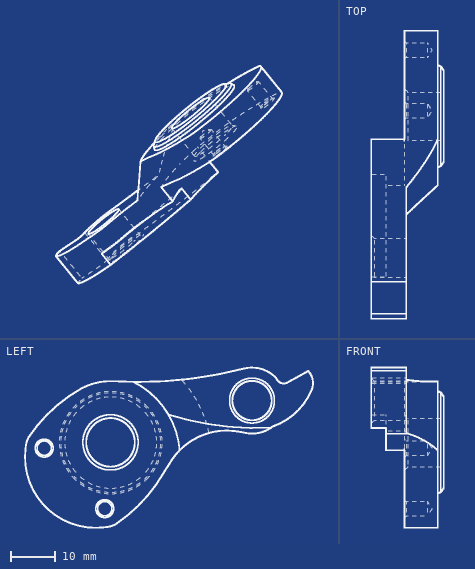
import cadquery as cq
import math


ledge_x = 3.35
plate_front_x = 7.5
arm_back_x = 8.0
plate_back_x = 15.1
boss_back_x = 16.5

lobe_offset = 3.35
lobe_radius = 16.1
rim_radius = 13.95
shoulder_radius = 19.1
rim_end_y = 6.7
flank_middle = (13.3, 7.4)
flank_end = (18.65, 1.1)
corner_middle_y = 19.1
corner_end_y = 19.3

eye_center = (-32.15, 9.5)
eye_radius = 7.5
neck_start = (-5.95, 13.75)
neck_middle = (-18.2, 14.5)
notch_middle = (-38.8, 13.5)
notch_end = (-40.1, 13.55)
hook_tip = (-44.9, 16.25)
nose_middle = (-46.0, 13.5)
nose_end = (-45.65, 11.7)
hook_back_middle = (-42.1, 6.75)
underside_start = (-28.15, 2.55)
underside_middle = (-20.4, 1.45)
underside_end = (-14.1, -3.8)

ledge_start = (-11.8, 6.75)
ledge_middle = (-24.7, 3.8)
ledge_end = (-37.0, 3.35)

clearing_radius = 65.5

main_bore_radius = 5.5
main_bore_chamfer = 0.8
eye_bore_radius = 4.45
eye_bore_chamfer = 0.65
pin_center = (15.05, -1.3)
pin_radius = 1.65
pin_chamfer = 0.4
pin_depth = 5.25
drill_point_angle = 118

boss_base_radius = 11.65
boss_step_radius = 11.3
boss_end_radius = 10.4
boss_step_x = 15.85

lobe_center = (lobe_offset, -lobe_offset)


def mirrored(point):
    """Reflect a point in the plate's diagonal axis, which passes through both centres."""
    return (-point[1], -point[0])


def on_circle_at_y(center, radius, y):
    """Upper point of a circle at the given Y."""
    return (y, center[1] + math.sqrt(radius**2 - (y - center[0]) ** 2))


def at_angle(center, radius, degrees):
    angle = math.radians(degrees)
    return (center[0] + radius * math.cos(angle), center[1] + radius * math.sin(angle))


def plane_at(x):
    return cq.Workplane("YZ", origin=(x, 0, 0))


def cylinder(center, radius, start_x, end_x):
    return plane_at(start_x).center(*center).circle(radius).extrude(end_x - start_x)


def cone(center, start_radius, end_radius, start_x, end_x):
    return cq.Workplane(
        cq.Solid.makeCone(
            start_radius, end_radius, end_x - start_x,
            pnt=cq.Vector(start_x, *center), dir=cq.Vector(1, 0, 0),
        )
    )


def make_plate():
    rim_end = on_circle_at_y((0, 0), rim_radius, rim_end_y)
    corner_end = on_circle_at_y(lobe_center, lobe_radius, corner_end_y)
    corner_middle = (corner_middle_y, (flank_end[1] + corner_end[1]) / 2)
    return (
        plane_at(plate_front_x)
        .moveTo(*rim_end)
        .threePointArc(flank_middle, flank_end)
        .threePointArc(corner_middle, corner_end)
        .threePointArc(at_angle(lobe_center, lobe_radius, -45), mirrored(corner_end))
        .threePointArc(mirrored(corner_middle), mirrored(flank_end))
        .threePointArc(mirrored(flank_middle), mirrored(rim_end))
        .threePointArc(at_angle((0, 0), rim_radius, 135), rim_end)
        .close()
        .extrude(plate_back_x - plate_front_x)
    )


def make_arm():
    eye_top_start = at_angle(eye_center, eye_radius, 75)
    eye_top_end = at_angle(eye_center, eye_radius, 137)
    eye_bottom_start = at_angle(eye_center, eye_radius, 232)
    eye_bottom_end = at_angle(eye_center, eye_radius, 286)
    plate_joint = mirrored(on_circle_at_y((0, 0), rim_radius, rim_end_y))
    arm = (
        plane_at(0)
        .moveTo(0, rim_radius)
        .lineTo(*neck_start)
        .threePointArc(neck_middle, eye_top_start)
        .threePointArc(at_angle(eye_center, eye_radius, 106), eye_top_end)
        .threePointArc(notch_middle, notch_end)
        .lineTo(*hook_tip)
        .threePointArc(nose_middle, nose_end)
        .threePointArc(hook_back_middle, eye_bottom_start)
        .threePointArc(at_angle(eye_center, eye_radius, 259), eye_bottom_end)
        .lineTo(*underside_start)
        .threePointArc(underside_middle, underside_end)
        .lineTo(*plate_joint)
        .lineTo(0, 0)
        .close()
        .extrude(plate_back_x)
    )
    arm = arm.cut(cylinder(lobe_center, shoulder_radius, 0, plate_front_x))
    cone_height = plate_back_x - arm_back_x
    beyond_cone = cylinder(lobe_center, clearing_radius, arm_back_x, plate_back_x)
    beyond_cone = beyond_cone.cut(
        cone(lobe_center, shoulder_radius + cone_height, shoulder_radius, arm_back_x, plate_back_x)
    )
    return arm.cut(beyond_cone)


def make_ledge_cut():
    """Material removed from the front of the arm below a shallow arc."""
    return (
        plane_at(0)
        .moveTo(*ledge_start)
        .threePointArc(ledge_middle, ledge_end)
        .lineTo(ledge_end[0], -lobe_radius)
        .lineTo(ledge_start[0], -lobe_radius)
        .close()
        .extrude(ledge_x)
    )


def make_boss():
    """Two stacked cones: a slightly tapered band, then a steeper bevel."""
    band = cone((0, 0), boss_base_radius, boss_step_radius, plate_back_x, boss_step_x)
    bevel = cone((0, 0), boss_step_radius, boss_end_radius, boss_step_x, boss_back_x)
    return band.union(bevel)


def make_bore(center, radius, chamfer, front_x, end_x):
    bore = cylinder(center, radius, front_x, end_x)
    return bore.union(cone(center, radius + chamfer, radius, front_x, front_x + chamfer))


def make_pin_hole(center):
    """Blind hole ending in a drill point."""
    end_x = plate_front_x + pin_depth
    hole = make_bore(center, pin_radius, pin_chamfer, plate_front_x, end_x)
    point_length = pin_radius / math.tan(math.radians(drill_point_angle / 2))
    return hole.union(cone(center, pin_radius, 0, end_x, end_x + point_length))


result = make_plate().union(make_arm().cut(make_ledge_cut())).union(make_boss())
result = result.cut(make_bore((0, 0), main_bore_radius, main_bore_chamfer, plate_front_x, boss_back_x))
result = result.cut(make_bore(eye_center, eye_bore_radius, eye_bore_chamfer, 0, arm_back_x))
for center in (pin_center, mirrored(pin_center)):
    result = result.cut(make_pin_hole(center))